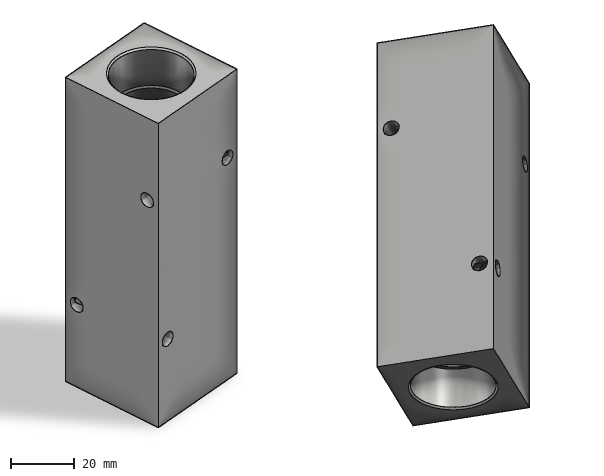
import cadquery as cq

width = 38.1
height = 117.5

bore_diameter = 23.0
recess_top_diameter = 26.8
recess_floor_diameter = 25.8
recess_depth = 14.1
mouth_diameter = 28.0
mouth_chamfer = (mouth_diameter - recess_top_diameter) / 2

hole_diameter = 5.2
hole_offset = 14.5
hole_height = 27.0


def end_recess():
    """Tapered recess at the top end with a chamfered mouth, revolved about Z."""
    top = height / 2
    floor = top - recess_depth
    return (
        cq.Workplane("XZ")
        .moveTo(0, floor)
        .lineTo(recess_floor_diameter / 2, floor)
        .lineTo(recess_top_diameter / 2, top - mouth_chamfer)
        .lineTo(mouth_diameter / 2, top)
        .lineTo(0, top)
        .close()
        .revolve(360, (0, 0), (0, 1))
    )


def cross_holes(plane):
    """Two diagonally opposite through holes, normal to the given plane."""
    return (
        cq.Workplane(plane)
        .pushPoints([(hole_offset, hole_height), (-hole_offset, -hole_height)])
        .circle(hole_diameter / 2)
        .extrude(width, both=True)
    )


block = cq.Workplane("XY").box(width, width, height)
bore = cq.Workplane("XY").circle(bore_diameter / 2).extrude(height, both=True)
top_recess = end_recess()
bottom_recess = top_recess.mirror("XY")

result = block.cut(bore).cut(top_recess).cut(bottom_recess)
for plane in ("XZ", "YZ"):
    result = result.cut(cross_holes(plane))